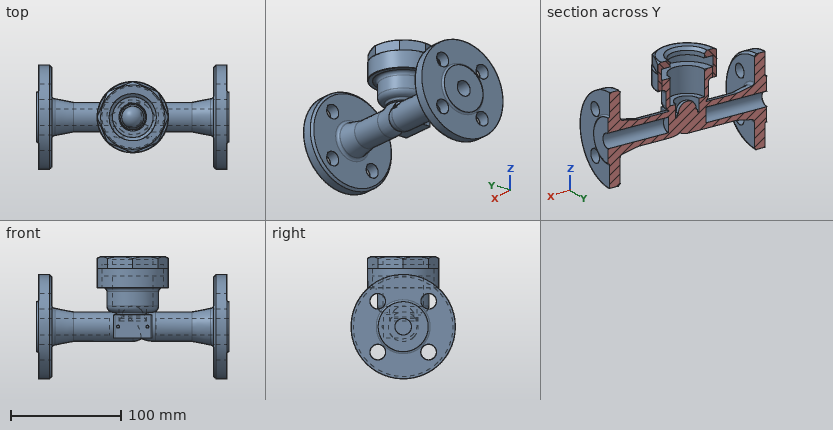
import cadquery as cq
import math

total_length = 175.0
flange_diameter = 95.0
flange_thickness = 12.0
flange_chamfer = 2.3
raised_face_height = 2.0
raised_face_diameter = 45.5
raised_face_fillet = 1.8
bolt_hole_diameter = 14.0
bolt_hole_offset = 23.1
pipe_diameter = 27.0
pipe_bore_diameter = 15.0
pipe_bore_end = 21.0
hub_start = 53.7
hub_end_diameter = 33.6
hub_fillet = 2.8

elbow_radius = 20.5

neck_diameter = 47.0
neck_bottom = 10.5
neck_shoulder = 13.0
neck_shoulder_fillet = 6.0
neck_foot_fillet = 1.8
neck_top_fillet = 3.5
neck_bore_diameter = 37.0
neck_bore_floor = 18.5
spigot_diameter = 56.0

well_diameter = 25.0
well_floor = 5.2
post_diameter = 23.0
post_top = 8.8
dome_diameter = 20.1

pad_width = 35.0
pad_top = 10.8
pad_bottom = -10.3
pad_reach = 17.8
pad_side_fillet = 1.4
pad_top_fillet = 0.9
rivet_diameter = 2.6
rivet_offset = 13.3

nut_diameter = 65.0
nut_top = 63.96
nut_height = 28.7
octagon_height = 11.2
octagon_sides = 8
octagon_top_diameter = 58.5
octagon_chamfer_drop = 2.0
nut_opening_diameter = 37.0
nut_countersink_depth = 3.0
nut_lip_thickness = 7.4
skirt_chamfer = 0.5
spigot_top_depth = 18.0

face_end = total_length / 2
flange_front = face_end - raised_face_height
flange_back = flange_front - flange_thickness
hub_end = flange_back - hub_fillet
pipe_radius = pipe_diameter / 2
nut_bottom = nut_top - nut_height
spigot_top = nut_top - spigot_top_depth
ARC_45 = math.sqrt(0.5)


def pipe_arm(start):
    """Pipe from x = start to the raised face, with its hub and flange."""
    hub_radius = hub_end_diameter / 2
    flange_radius = flange_diameter / 2
    face_radius = raised_face_diameter / 2
    profile = (
        cq.Workplane("XY")
        .moveTo(start, 0)
        .lineTo(start, pipe_radius)
        .lineTo(hub_start, pipe_radius)
        .lineTo(hub_end, hub_radius)
        .threePointArc(
            (flange_back - hub_fillet * (1 - ARC_45), hub_radius + hub_fillet * (1 - ARC_45)),
            (flange_back, hub_radius + hub_fillet),
        )
        .lineTo(flange_back, flange_radius - flange_chamfer)
        .lineTo(flange_back + flange_chamfer, flange_radius)
        .lineTo(flange_front, flange_radius)
        .lineTo(flange_front, face_radius + raised_face_fillet)
        .threePointArc(
            (
                flange_front + raised_face_fillet * (1 - ARC_45),
                face_radius + raised_face_fillet * (1 - ARC_45),
            ),
            (flange_front + raised_face_fillet, face_radius),
        )
        .lineTo(face_end, face_radius)
        .lineTo(face_end, 0)
        .close()
    )
    arm = profile.revolve(360, (0, 0, 0), (1, 0, 0))
    bolt_holes = (
        cq.Workplane("YZ", origin=(flange_back, 0, 0))
        .rect(2 * bolt_hole_offset, 2 * bolt_hole_offset, forConstruction=True)
        .vertices()
        .circle(bolt_hole_diameter / 2)
        .extrude(flange_thickness)
    )
    return arm.cut(bolt_holes)


def elbow():
    """Quarter bend from the right-hand pipe up to the neck axis."""
    return (
        cq.Workplane("YZ", origin=(elbow_radius, 0, 0))
        .circle(pipe_radius)
        .revolve(90, (0, elbow_radius, 0), (1, elbow_radius, 0))
    )


def neck():
    """Vertical neck with a round shoulder on a narrower foot, flaring out to the spigot inside the nut."""
    radius = neck_diameter / 2
    shoulder_radius = radius - neck_shoulder_fillet
    foot_radius = shoulder_radius - neck_foot_fillet
    shoulder_arc = neck_shoulder_fillet * (1 - ARC_45)
    foot_arc = neck_foot_fillet * (1 - ARC_45)
    top_arc = neck_top_fillet * (1 - ARC_45)
    return (
        cq.Workplane("XZ")
        .moveTo(0, neck_bottom)
        .lineTo(foot_radius, neck_bottom)
        .lineTo(foot_radius, neck_shoulder - neck_foot_fillet)
        .threePointArc(
            (foot_radius + foot_arc, neck_shoulder - foot_arc),
            (shoulder_radius, neck_shoulder),
        )
        .threePointArc(
            (radius - shoulder_arc, neck_shoulder + shoulder_arc),
            (radius, neck_shoulder + neck_shoulder_fillet),
        )
        .lineTo(radius, nut_bottom - neck_top_fillet)
        .threePointArc(
            (radius + top_arc, nut_bottom - top_arc),
            (radius + neck_top_fillet, nut_bottom),
        )
        .lineTo(spigot_diameter / 2, nut_bottom)
        .lineTo(spigot_diameter / 2, spigot_top)
        .lineTo(0, spigot_top)
        .close()
        .revolve(360, (0, 0, 0), (0, 1, 0))
    )


def neck_cavity():
    """Neck bore and the well below it, less the domed post that stands on the well floor."""
    bore = (
        cq.Workplane("XY", origin=(0, 0, neck_bore_floor))
        .circle(neck_bore_diameter / 2)
        .extrude(spigot_top - neck_bore_floor)
    )
    well = (
        cq.Workplane("XY", origin=(0, 0, well_floor))
        .circle(well_diameter / 2)
        .extrude(neck_bore_floor - well_floor)
    )
    return bore.union(well).cut(domed_post())


def domed_post():
    """Round post with a chamfered edge that leads into a hemispherical dome."""
    post_radius = post_diameter / 2
    dome_radius = dome_diameter / 2
    chamfer = post_radius - dome_radius
    return (
        cq.Workplane("XZ")
        .moveTo(0, well_floor)
        .lineTo(post_radius, well_floor)
        .lineTo(post_radius, post_top - chamfer)
        .lineTo(dome_radius, post_top)
        .threePointArc(
            (dome_radius * ARC_45, post_top + dome_radius * ARC_45),
            (0, post_top + dome_radius),
        )
        .close()
        .revolve(360, (0, 0, 0), (0, 1, 0))
    )


def nameplate_pad():
    """Block on the front of the pipe with two round rivet heads."""
    pad = (
        cq.Workplane("XY")
        .box(pad_width, pad_reach, pad_top - pad_bottom, centered=(True, False, False))
        .translate((0, -pad_reach, pad_bottom))
        .edges("|Z and <Y")
        .fillet(pad_side_fillet)
        .faces(">Z")
        .edges("not >Y")
        .fillet(pad_top_fillet)
    )
    rivets = (
        cq.Workplane("XZ", origin=(0, -pad_reach, 0))
        .pushPoints([(-rivet_offset, 0), (rivet_offset, 0)])
        .sphere(rivet_diameter / 2)
    )
    return pad.union(rivets)


def make_housing():
    left_arm = pipe_arm(0).mirror("YZ")
    left_arm_end = cq.Workplane("XY").sphere(pipe_radius)
    left_half = left_arm.union(left_arm_end).union(neck())
    right_half = pipe_arm(elbow_radius).union(elbow())
    solid = left_half.union(right_half).union(nameplate_pad()).cut(neck_cavity())
    for side in (-1, 1):
        bore = (
            cq.Workplane("YZ", origin=(side * pipe_bore_end, 0, 0))
            .circle(pipe_bore_diameter / 2)
            .extrude(side * (face_end - pipe_bore_end))
        )
        solid = solid.cut(bore)
    return solid


def make_nut():
    """Union nut: a round skirt, a chamfered octagon on top and a stepped bore."""
    nut_radius = nut_diameter / 2
    opening_radius = nut_opening_diameter / 2
    bore_radius = spigot_diameter / 2
    skirt_top = nut_top - octagon_height
    skirt = (
        cq.Workplane("XY", origin=(0, 0, nut_bottom))
        .circle(nut_radius)
        .extrude(nut_height - octagon_height)
        .faces("<Z")
        .chamfer(skirt_chamfer)
    )
    octagon = (
        cq.Workplane("XY", origin=(0, 0, skirt_top))
        .polygon(octagon_sides, nut_diameter)
        .extrude(octagon_height)
    )
    envelope = (
        cq.Workplane("XZ")
        .moveTo(0, skirt_top)
        .lineTo(nut_radius, skirt_top)
        .lineTo(nut_radius, nut_top - octagon_chamfer_drop)
        .lineTo(octagon_top_diameter / 2, nut_top)
        .lineTo(0, nut_top)
        .close()
        .revolve(360, (0, 0, 0), (0, 1, 0))
    )
    stepped_bore = (
        cq.Workplane("XZ")
        .moveTo(0, nut_bottom)
        .lineTo(bore_radius, nut_bottom)
        .lineTo(bore_radius, nut_top - nut_lip_thickness)
        .lineTo(opening_radius, nut_top - nut_lip_thickness)
        .lineTo(opening_radius, nut_top - nut_countersink_depth)
        .lineTo(opening_radius + nut_countersink_depth, nut_top)
        .lineTo(0, nut_top)
        .close()
        .revolve(360, (0, 0, 0), (0, 1, 0))
    )
    return skirt.union(octagon.intersect(envelope)).cut(stepped_bore)


housing = make_housing()
nut = make_nut()
result = cq.Compound.makeCompound([housing.val(), nut.val()])